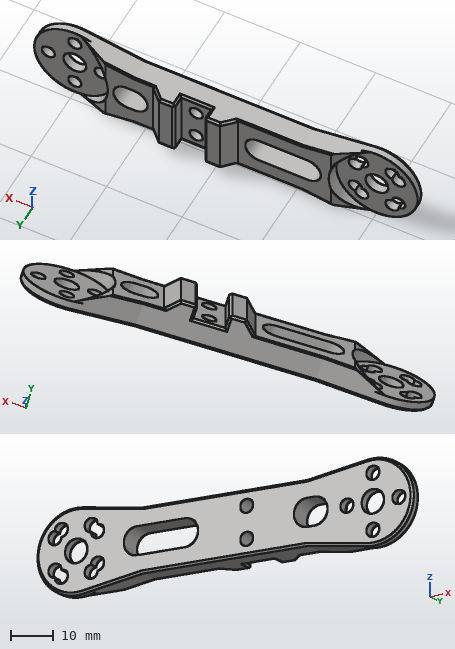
import cadquery as cq
import math

length = 101.5
end_radius = 10.8
end_x = length / 2 - end_radius
waist_half_width = 8.1
waist_x = 22.2
chamfer = 0.6
edge_break = 0.3

plate_thickness = 2.5
body_thickness = 6.4
boss_top = 9.5

ramp_foot_x = 38.4
ramp_top_x = 29.8

boss_x = 6.0
boss_top_half = 8.1
boss_base_half = boss_top_half + boss_top - body_thickness
notch_half = 4.0
notch_floor = 6.1

shaft_hole_diameter = 6.0
screw_diameter = 3.5
screw_circle_radius = 7.0
paired_screw_spread = 10.0
clamp_screw_z = 4.1
slot_height = 7.1
long_slot_x = -17.2
long_slot_length = 20.0
short_slot_x = 23.2
short_slot_length = 9.0


def front_plane(y=0.0):
    """Sketch plane across X and Z at height y; a negative extrusion goes towards +Y."""
    return cq.Workplane("XZ", origin=(0, y, 0))


def tangent_to_end():
    """Point where a line from the waist corner touches the right-hand end circle."""
    dx = waist_x - end_x
    distance = math.hypot(dx, waist_half_width)
    angle = math.atan2(waist_half_width, dx) - math.acos(end_radius / distance)
    return (end_x + end_radius * math.cos(angle), end_radius * math.sin(angle))


def make_outline(thickness):
    """Round-ended bar with a narrower parallel waist."""
    tx, tz = tangent_to_end()
    return (
        front_plane()
        .moveTo(-waist_x, waist_half_width)
        .lineTo(waist_x, waist_half_width)
        .lineTo(tx, tz)
        .threePointArc((length / 2, 0), (tx, -tz))
        .lineTo(waist_x, -waist_half_width)
        .lineTo(-waist_x, -waist_half_width)
        .lineTo(-tx, -tz)
        .threePointArc((-length / 2, 0), (-tx, tz))
        .close()
        .extrude(-thickness)
    )


def make_body():
    """Thin plate with ramped beam, hollowed round both motor seats."""
    side_profile = (
        cq.Workplane("XY")
        .polyline([
            (-length / 2, 0),
            (length / 2, 0),
            (length / 2, plate_thickness),
            (ramp_foot_x, plate_thickness),
            (ramp_top_x, body_thickness),
            (-ramp_top_x, body_thickness),
            (-ramp_foot_x, plate_thickness),
            (-length / 2, plate_thickness),
        ])
        .close()
        .extrude(end_radius, both=True)
    )
    body = make_outline(body_thickness)
    body = body.faces("<Y").chamfer(chamfer)
    body = body.faces(">Y").chamfer(edge_break)
    body = body.intersect(side_profile)
    seats = (
        front_plane(plate_thickness)
        .pushPoints([(-end_x, 0), (end_x, 0)])
        .circle(end_radius)
        .extrude(-body_thickness)
    )
    return body.cut(seats)


def make_boss():
    """Solid clamp boss with chamfered rims on both Z faces."""
    boss = (
        cq.Workplane("XY", origin=(boss_x, 0, 0))
        .polyline([
            (-boss_base_half, body_thickness),
            (-boss_top_half, boss_top),
            (boss_top_half, boss_top),
            (boss_base_half, body_thickness),
            (boss_base_half, plate_thickness),
            (-boss_base_half, plate_thickness),
        ])
        .close()
        .extrude(waist_half_width, both=True)
    )
    return boss.faces("|Z").chamfer(chamfer)


def make_notch():
    """Notch that splits the boss into two jaws, with chamfered lips and flared mouths."""
    lip_x = notch_half + chamfer
    lip_y = boss_top - chamfer
    notch = (
        cq.Workplane("XY", origin=(boss_x, 0, 0))
        .polyline([
            (-notch_half, notch_floor),
            (notch_half, notch_floor),
            (notch_half, lip_y),
            (lip_x, boss_top),
            (-lip_x, boss_top),
            (-notch_half, lip_y),
        ])
        .close()
        .extrude(waist_half_width, both=True)
    )
    flare_height = 2 * (boss_top - notch_floor + chamfer)
    flare = (
        cq.Workplane("XY", origin=(boss_x, boss_top, waist_half_width))
        .rect(2 * lip_x, flare_height)
        .extrude(-chamfer, taper=45)
    )
    return notch.union(flare).union(flare.mirror("XY"))


def on_screw_circle(centre_x, angles):
    """Points on the screw circle round an end, at the given angles in degrees."""
    return [
        (
            centre_x + screw_circle_radius * math.cos(math.radians(angle)),
            screw_circle_radius * math.sin(math.radians(angle)),
        )
        for angle in angles
    ]


def through_holes(points, diameter):
    """Cutters for round holes; each is joined on its own so that overlapping holes merge."""
    cutters = cq.Workplane("XZ")
    for x, z in points:
        cutters = cutters.union(front_plane().center(x, z).circle(diameter / 2).extrude(-boss_top))
    return cutters


def make_holes():
    """Shaft holes, overlapping screw pairs, four plain screws and the clamp screws."""
    paired_angles = [
        diagonal + side * paired_screw_spread
        for diagonal in (45, 135, 225, 315)
        for side in (-1, 1)
    ]
    screws = on_screw_circle(-end_x, paired_angles)
    screws += on_screw_circle(end_x, (0, 90, 180, 270))
    screws += [(boss_x, clamp_screw_z), (boss_x, -clamp_screw_z)]
    shafts = [(-end_x, 0), (end_x, 0)]
    return through_holes(screws, screw_diameter).union(through_holes(shafts, shaft_hole_diameter))


def make_slots():
    """Two lightening slots through the beam."""
    slots = cq.Workplane("XZ")
    for x, slot_length in ((long_slot_x, long_slot_length), (short_slot_x, short_slot_length)):
        slots = slots.union(front_plane().center(x, 0).slot2D(slot_length, slot_height).extrude(-boss_top))
    return slots


result = make_body().union(make_boss()).cut(make_notch()).cut(make_holes()).cut(make_slots())